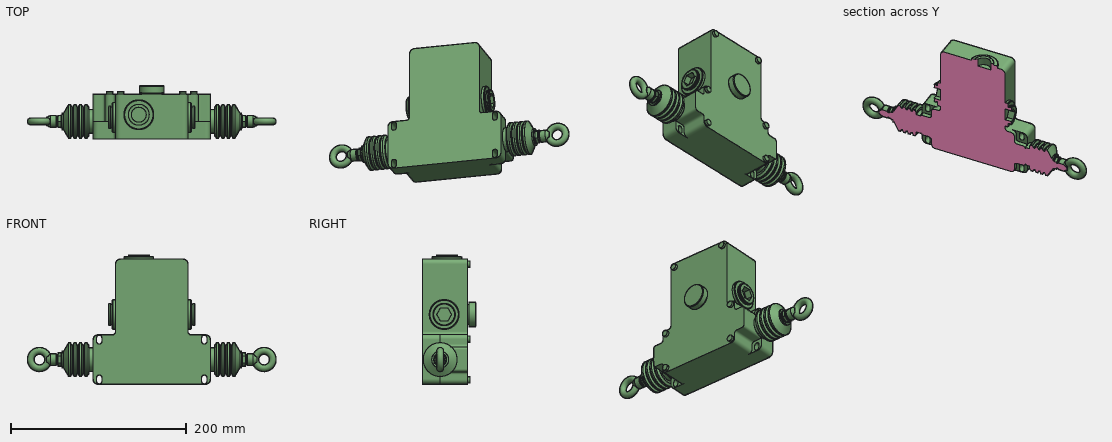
import cadquery as cq
import math

DEPTH = 51.3
BASE_HALF_WIDTH = 67.0
BASE_HEIGHT = 56.7
TOWER_HALF_WIDTH = 41.5
TOWER_TOP = 143.0
AXIS_Z = BASE_HEIGHT / 2
PLATE_DEPTH = 20.0
CORE_HALF_WIDTH = 53.0
SHOULDER_HALF_HEIGHT = 14.2
LARGE_RADIUS = 6.0
CORE_RADIUS = 5.0
SMALL_RADIUS = 3.0

SLOT_X = 59.8
SLOT_WIDTH = 6.0
SLOT_LENGTH = 10.0
SLOT_OFFSET = 22.7

SCREW_RADIUS = 3.7
SCREW_HEIGHT = 2.8

RIM_CHAMFER = 0.9

PLUG_Y = 24.7
PLUG_Z = 79.7
FLANGE_RADIUS = 17.0
PLUG_FLANGE_THICKNESS = 3.7
PLUG_HEAD_RADIUS = 12.8
PLUG_HEAD_THICKNESS = 2.5
PLUG_NECK_RADIUS = 12.0
PLUG_NECK_LENGTH = 1.7
SOCKET_ACROSS_FLATS = 14.7
SOCKET_DEPTH = 8.0

ENTRY_X = -14.7
ENTRY_Y = 27.8
ENTRY_FLANGE_THICKNESS = 2.8
ENTRY_COLLAR_RADIUS = 12.0
ENTRY_COLLAR_HEIGHT = 1.5
ENTRY_BORE_RADIUS = 8.5
ENTRY_BORE_DEPTH = 9.5

BELLOWS_Y = PLATE_DEPTH
TUBE_RADIUS = 13.5
TUBE_END_X = 71.7
RIDGE_COUNT = 4
RIDGE_RADIUS = 19.3
RIDGE_PITCH = 6.2
RIDGE_FLAT = 2.3
FIRST_RIDGE_X = 74.8
VALLEY_RADIUS = 16.5
VALLEY_FLAT = 1.0
NOSE_X = 100.5
NOSE_END_X = 102.0
NOSE_RADIUS = 9.5

WASHER_RADIUS = 7.5
LOCKNUT_ACROSS_FLATS = 13.5
LOCKNUT_START_X = 103.5
LOCKNUT_END_X = 106.5
NECK_RADIUS = 6.0
SHANK_START_X = 108.0
SHANK_REAR_CHAMFER = 0.9
SHANK_RADIUS = 6.8
SHANK_END_X = 119.5
SHANK_CHAMFER_LENGTH = 4.3
SHANK_CHAMFER_DEPTH = 2.0
EYE_RADIUS = 14.0
EYE_HOLE_RADIUS = 6.0
EYE_X = 141.8 - EYE_RADIUS

KNOB_RADIUS = 14.2
KNOB_THICKNESS = 8.2
KNOB_NECK_RADIUS = 11.5
KNOB_NECK_LENGTH = 1.5

SIDES = (-1, 1)


def block(half_width, z_low, z_high, y_low, y_high):
    """Box centred on X = 0."""
    return (
        cq.Workplane("XY")
        .box(2 * half_width, y_high - y_low, z_high - z_low, centered=(True, False, False))
        .translate((0, y_low, z_low))
    )


def round_corners(body, half_width, heights, radius):
    """Fillet the Y-direction edges at +/- half_width and the given heights."""
    for z in heights:
        for side in SIDES:
            y = body.val().Center().y
            corner = cq.selectors.NearestToPointSelector((side * half_width, y, z))
            body = body.edges("|Y").edges(corner).fillet(radius)
    return body


def front_plate():
    plate = block(BASE_HALF_WIDTH, 0, BASE_HEIGHT, 0, PLATE_DEPTH)
    plate = plate.union(block(TOWER_HALF_WIDTH, 0, TOWER_TOP, 0, PLATE_DEPTH))
    plate = round_corners(plate, BASE_HALF_WIDTH, (0, BASE_HEIGHT), LARGE_RADIUS)
    plate = round_corners(plate, TOWER_HALF_WIDTH, (TOWER_TOP,), LARGE_RADIUS)
    plate = round_corners(plate, TOWER_HALF_WIDTH, (BASE_HEIGHT,), SMALL_RADIUS)
    slots = (
        cq.Workplane("XZ")
        .pushPoints([
            (side * SLOT_X, AXIS_Z + level * SLOT_OFFSET)
            for side in SIDES
            for level in SIDES
        ])
        .slot2D(SLOT_LENGTH, SLOT_WIDTH, 90)
        .extrude(-PLATE_DEPTH)
    )
    return plate.cut(slots)


def rear_case():
    shoulder_levels = (AXIS_Z - SHOULDER_HALF_HEIGHT, AXIS_Z + SHOULDER_HALF_HEIGHT)
    case = block(CORE_HALF_WIDTH, 0, BASE_HEIGHT, PLATE_DEPTH, DEPTH)
    case = case.union(block(BASE_HALF_WIDTH, *shoulder_levels, PLATE_DEPTH, DEPTH))
    case = case.union(block(TOWER_HALF_WIDTH, 0, TOWER_TOP, PLATE_DEPTH, DEPTH))
    case = round_corners(case, CORE_HALF_WIDTH, (0, BASE_HEIGHT), CORE_RADIUS)
    case = round_corners(case, TOWER_HALF_WIDTH, (TOWER_TOP,), LARGE_RADIUS)
    case = round_corners(case, TOWER_HALF_WIDTH, (BASE_HEIGHT,), SMALL_RADIUS)
    case = round_corners(case, CORE_HALF_WIDTH, shoulder_levels, SMALL_RADIUS)
    return round_corners(case, BASE_HALF_WIDTH, shoulder_levels, SMALL_RADIUS)


def cover_screws():
    core_x = CORE_HALF_WIDTH - CORE_RADIUS
    places = [
        (TOWER_HALF_WIDTH - LARGE_RADIUS, TOWER_TOP - LARGE_RADIUS),
        (core_x, BASE_HEIGHT - CORE_RADIUS),
        (core_x, CORE_RADIUS),
    ]
    return (
        cq.Workplane("XZ", origin=(0, DEPTH, 0))
        .pushPoints([(side * x, z) for x, z in places for side in SIDES])
        .circle(SCREW_RADIUS)
        .extrude(-SCREW_HEIGHT)
    )


def disc(plane, radius, start, thickness):
    """Round disc lifted off the plane, with its outer rim chamfered."""
    return (
        cq.Workplane(plane)
        .workplane(offset=start)
        .circle(radius)
        .extrude(thickness)
        .faces(cq.selectors.DirectionMinMaxSelector(plane.zDir))
        .chamfer(RIM_CHAMFER)
    )


def side_plug():
    """Plug on the +X side: flange, neck and head, with a hexagon socket."""
    plane = cq.Plane((TOWER_HALF_WIDTH, PLUG_Y, PLUG_Z), xDir=(0, 1, 0), normal=(1, 0, 0))
    head_start = PLUG_FLANGE_THICKNESS + PLUG_NECK_LENGTH
    socket_start = head_start + PLUG_HEAD_THICKNESS - SOCKET_DEPTH
    neck = cq.Workplane(plane).circle(PLUG_NECK_RADIUS).extrude(head_start)
    socket = (
        cq.Workplane(plane)
        .workplane(offset=socket_start)
        .polygon(6, SOCKET_ACROSS_FLATS / math.cos(math.pi / 6))
        .extrude(SOCKET_DEPTH)
    )
    return (
        disc(plane, FLANGE_RADIUS, 0, PLUG_FLANGE_THICKNESS)
        .union(neck)
        .union(disc(plane, PLUG_HEAD_RADIUS, head_start, PLUG_HEAD_THICKNESS))
        .cut(socket)
    )


def cable_entry():
    plane = cq.Plane((ENTRY_X, ENTRY_Y, TOWER_TOP))
    collar = (
        cq.Workplane(plane)
        .circle(ENTRY_COLLAR_RADIUS)
        .extrude(ENTRY_FLANGE_THICKNESS + ENTRY_COLLAR_HEIGHT)
    )
    return disc(plane, FLANGE_RADIUS, 0, ENTRY_FLANGE_THICKNESS).union(collar)


def entry_bore():
    top = TOWER_TOP + ENTRY_FLANGE_THICKNESS + ENTRY_COLLAR_HEIGHT
    return (
        cq.Workplane("XY", origin=(ENTRY_X, ENTRY_Y, top))
        .circle(ENTRY_BORE_RADIUS)
        .extrude(-ENTRY_BORE_DEPTH)
    )


def turned(profile):
    """Revolve (x, radius) points about the pull axis."""
    return (
        cq.Workplane("XY", origin=(0, BELLOWS_Y, AXIS_Z))
        .polyline(profile)
        .close()
        .revolve(360, (0, 0, 0), (1, 0, 0))
    )


def bellows():
    """Tube, ridges and conical nose on the +X side."""
    profile = [
        (BASE_HALF_WIDTH, 0),
        (BASE_HALF_WIDTH, TUBE_RADIUS),
        (TUBE_END_X, TUBE_RADIUS),
        (TUBE_END_X, VALLEY_RADIUS),
    ]
    for index in range(RIDGE_COUNT):
        ridge_x = FIRST_RIDGE_X + index * RIDGE_PITCH
        if index > 0:
            valley_x = ridge_x - RIDGE_PITCH / 2
            profile.append((valley_x - VALLEY_FLAT / 2, VALLEY_RADIUS))
            profile.append((valley_x + VALLEY_FLAT / 2, VALLEY_RADIUS))
        profile.append((ridge_x - RIDGE_FLAT / 2, RIDGE_RADIUS))
        profile.append((ridge_x + RIDGE_FLAT / 2, RIDGE_RADIUS))
    profile += [(NOSE_X, NOSE_RADIUS), (NOSE_END_X, NOSE_RADIUS), (NOSE_END_X, 0)]
    return turned(profile)


def eye_bolt():
    """Washer, locknut, necked shank and ring on the +X side."""
    nut_plane = cq.Plane((LOCKNUT_START_X, BELLOWS_Y, AXIS_Z), xDir=(0, 0, 1), normal=(1, 0, 0))
    locknut = (
        cq.Workplane(nut_plane)
        .polygon(6, LOCKNUT_ACROSS_FLATS / math.cos(math.pi / 6))
        .extrude(LOCKNUT_END_X - LOCKNUT_START_X)
    )
    shank = turned([
        (NOSE_END_X, 0),
        (NOSE_END_X, WASHER_RADIUS),
        (LOCKNUT_START_X, WASHER_RADIUS),
        (LOCKNUT_START_X, NECK_RADIUS),
        (SHANK_START_X, NECK_RADIUS),
        (SHANK_START_X + SHANK_REAR_CHAMFER, SHANK_RADIUS),
        (SHANK_END_X - SHANK_CHAMFER_LENGTH, SHANK_RADIUS),
        (SHANK_END_X, SHANK_RADIUS - SHANK_CHAMFER_DEPTH),
        (SHANK_END_X, 0),
    ])
    wire_radius = (EYE_RADIUS - EYE_HOLE_RADIUS) / 2
    ring = cq.Workplane(obj=cq.Solid.makeTorus(
        EYE_RADIUS - wire_radius,
        wire_radius,
        cq.Vector(EYE_X, BELLOWS_Y, AXIS_Z),
        cq.Vector(0, 1, 0),
    ))
    return locknut.union(shank).union(ring)


def make_housing():
    body = front_plate().union(rear_case()).union(cover_screws())
    body = body.union(cable_entry()).cut(entry_bore())
    for attachment in (side_plug(), bellows().union(eye_bolt())):
        body = body.union(attachment).union(attachment.mirror("YZ"))
    return body


def make_knob():
    plane = cq.Plane((0, DEPTH, PLUG_Z), xDir=(1, 0, 0), normal=(0, 1, 0))
    neck = cq.Workplane(plane).circle(KNOB_NECK_RADIUS).extrude(KNOB_NECK_LENGTH)
    return neck.union(disc(plane, KNOB_RADIUS, KNOB_NECK_LENGTH, KNOB_THICKNESS))


housing = make_housing()
knob = make_knob()
result = cq.Compound.makeCompound([housing.val(), knob.val()])